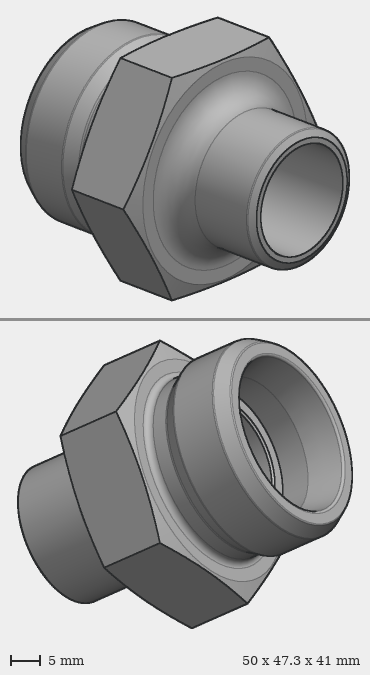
import cadquery as cq
import math

total_length = 50
hex_start = 18
hex_end = 32
thread_end = 11.2
socket_depth = 12

hex_sides = 6
hex_across_flats = 41
hex_chamfer_circle = 40
hex_chamfer_angle = 15
corner_clearance = 0.5

thread_diameter = 36
groove_diameter = 32.9
spigot_diameter = 25
spigot_tip_diameter = 22.1
bevel_angle = 30

bore_diameter = 20
socket_diameter = 25.2
cone_mouth_diameter = 28
cone_half_angle = 12
bore_chamfer_radial = 0.5
bore_chamfer_axial = 0.3

thread_edge_round = 0.5
groove_edge_round = 0.8
thread_tip_round = 0.3
mouth_round = 0.5
groove_corner_round = 1.2
spigot_corner_round = 5
spigot_edge_round = 0.25


def revolve_profile(points):
    """Turn a closed (x, radius) outline around the X axis."""
    outline = cq.Workplane("XY").polyline(points).close()
    return outline.revolve(360, (0, 0, 0), (1, 0, 0))


def circle_edges(x, diameter):
    """Selector for the full circular edge at one axial position and diameter."""
    half = diameter / 2
    margin = 0.025
    return cq.selectors.BoxSelector(
        (x - margin, -half - margin, -half - margin),
        (x + margin, half + margin, half + margin),
        boundingbox=True,
    )


def make_hexagon():
    """Hexagonal collar with flats facing +Z and -Z, its corners turned off at both ends."""
    across_corners = hex_across_flats / math.cos(math.pi / hex_sides)
    corner_radius = across_corners / 2
    chamfer_radius = hex_chamfer_circle / 2
    cone_radius = corner_radius + corner_clearance
    cone_length = (cone_radius - chamfer_radius) * math.tan(math.radians(hex_chamfer_angle))
    prism = (
        cq.Workplane("YZ", origin=(hex_start, 0, 0))
        .polygon(hex_sides, across_corners)
        .extrude(hex_end - hex_start)
    )
    envelope = revolve_profile([
        (hex_start, 0),
        (hex_start, chamfer_radius),
        (hex_start + cone_length, cone_radius),
        (hex_end - cone_length, cone_radius),
        (hex_end, chamfer_radius),
        (hex_end, 0),
    ])
    return prism.intersect(envelope)


def make_body():
    """Threaded end, relief groove, hexagon and weld spigot, with all outer rounds."""
    thread_radius = thread_diameter / 2
    groove_radius = groove_diameter / 2
    spigot_radius = spigot_diameter / 2
    tip_radius = spigot_tip_diameter / 2
    bevel_slope = math.tan(math.radians(bevel_angle))
    bevel_length = (thread_radius - groove_radius) / bevel_slope
    groove_start = thread_end + bevel_length
    spigot_bevel_start = total_length - (spigot_radius - tip_radius) * bevel_slope

    turned = revolve_profile([
        (0, 0),
        (0, groove_radius),
        (bevel_length, thread_radius),
        (thread_end, thread_radius),
        (groove_start, groove_radius),
        (hex_end, groove_radius),
        (hex_end, spigot_radius),
        (spigot_bevel_start, spigot_radius),
        (total_length, tip_radius),
        (total_length, 0),
    ])
    rounded_edges = [
        (0, groove_diameter, thread_tip_round),
        (bevel_length, thread_diameter, thread_edge_round),
        (thread_end, thread_diameter, thread_edge_round),
        (groove_start, groove_diameter, groove_edge_round),
        (hex_start, groove_diameter, groove_corner_round),
        (hex_end, spigot_diameter, spigot_corner_round),
        (spigot_bevel_start, spigot_diameter, spigot_edge_round),
    ]
    body = turned.union(make_hexagon())
    for x, diameter, radius in rounded_edges:
        body = body.edges(circle_edges(x, diameter)).fillet(radius)
    return body


def make_bore():
    """Conical mouth, tube socket and through bore as one cutting solid."""
    bore_radius = bore_diameter / 2
    socket_radius = socket_diameter / 2
    mouth_radius = cone_mouth_diameter / 2
    cone_length = (mouth_radius - socket_radius) / math.tan(math.radians(cone_half_angle))
    return revolve_profile([
        (0, 0),
        (0, mouth_radius),
        (cone_length, socket_radius),
        (socket_depth, socket_radius),
        (socket_depth, bore_radius + bore_chamfer_radial),
        (socket_depth + bore_chamfer_axial, bore_radius),
        (total_length, bore_radius),
        (total_length, 0),
    ])


fitting = make_body().cut(make_bore())
result = fitting.edges(circle_edges(0, cone_mouth_diameter)).fillet(mouth_round)